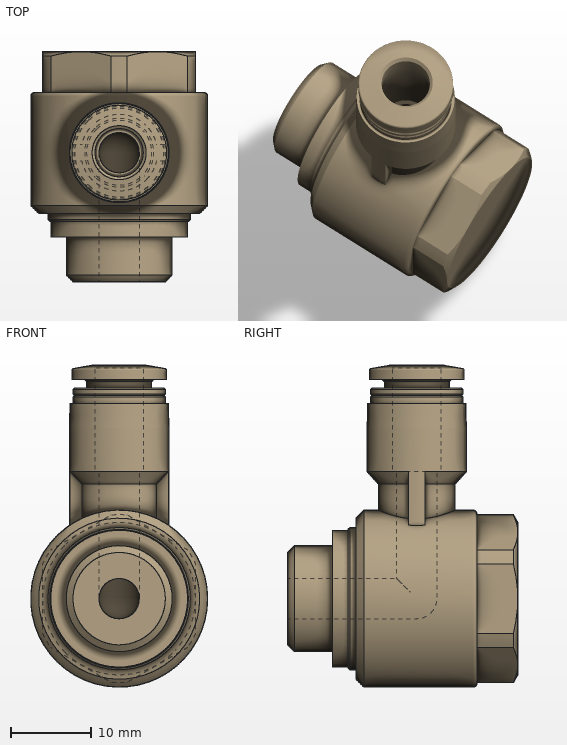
import cadquery as cq
import math


body_diameter = 22.0
body_back = 7.5
body_front = -7.55
body_fillet = 0.5
body_chamfer = 1.0
collar_diameter = 17.7
collar_front = -8.55
collar_chamfer = 0.25
ring_diameter = 17.0
ring_front = -10.5
plug_diameter = 13.15
plug_length = 5.55
plug_chamfer = 0.85
plug_front = ring_front - plug_length

overall_length = 28.6
hex_back = plug_front + overall_length
hex_across_flats = 19.0
hex_corner_diameter = 20.9
hex_chamfer_length = 0.55
hex_end_diameter = 18.95

overall_height = 40.0
port_top = overall_height - body_diameter / 2
port_diameter = 12.4
port_taper_diameter = 12.2
neck_diameter = 9.5
neck_top = 14.25
shoulder_height = 15.8
taper_bottom = 21.2
taper_top = 24.25
rib_thickness = 2.1

seat_diameter = 11.5
seat_top = 26.2
seat_edge = 0.25
groove_height = 25.25
groove_depth = 0.2

button_diameter = 11.8
button_bottom = 27.2
button_edge_height = 28.6
button_edge_round = 0.25
button_stem_diameter = 8.1
stem_flare = 0.25

bore_diameter = 5.0
tube_diameter = 6.0
tube_stop_height = shoulder_height
tube_mouth_diameter = 6.7
tube_mouth_depth = 0.35


def cylinder_along_y(diameter, front, back):
    return cq.Workplane("XZ", origin=(0, back, 0)).circle(diameter / 2).extrude(back - front)


def make_body():
    """Round body with its collar, ring and plug stepping down toward -Y."""
    body = cylinder_along_y(body_diameter, body_front, body_back)
    body = body.faces(">Y").edges().fillet(body_fillet)
    body = body.faces("<Y").edges().chamfer(body_chamfer)
    collar = cylinder_along_y(collar_diameter, collar_front, body_front)
    collar = collar.faces("<Y").edges().chamfer(collar_chamfer)
    ring = cylinder_along_y(ring_diameter, ring_front, collar_front)
    plug = cylinder_along_y(plug_diameter, plug_front, ring_front)
    plug = plug.faces("<Y").edges().chamfer(plug_chamfer)
    return body.union(collar).union(ring).union(plug)


def make_hex_head():
    """Hexagon with one corner up, its corners turned round and its end beveled."""
    prism = (
        cq.Workplane("XZ", origin=(0, hex_back, 0))
        .polygon(6, hex_across_flats / math.cos(math.pi / 6))
        .extrude(hex_back - body_back)
        .rotate((0, 0, 0), (0, 1, 0), 30)
    )
    turned = cylinder_along_y(hex_corner_diameter, body_back, hex_back)
    bevel_width = (hex_corner_diameter - hex_end_diameter) / 2
    turned = turned.faces(">Y").edges().chamfer(hex_chamfer_length, bevel_width)
    return prism.intersect(turned)


def make_port():
    """Neck, port barrel and release button turned about Z."""
    neck_radius = neck_diameter / 2
    port_radius = port_diameter / 2
    seat_radius = seat_diameter / 2
    stem_radius = button_stem_diameter / 2
    button_radius = button_diameter / 2
    profile = [
        (0, 0),
        (neck_radius, 0),
        (neck_radius, neck_top),
        (port_radius, shoulder_height),
        (port_radius, taper_bottom),
        (port_taper_diameter / 2, taper_top),
        (seat_radius, taper_top),
        (seat_radius, groove_height - groove_depth),
        (seat_radius - groove_depth, groove_height),
        (seat_radius, groove_height + groove_depth),
        (seat_radius, seat_top - seat_edge),
        (seat_radius - seat_edge, seat_top),
        (stem_radius, seat_top),
        (stem_radius, button_bottom - stem_flare),
        (stem_radius + stem_flare, button_bottom),
        (button_radius, button_bottom),
        (button_radius, button_edge_height - button_edge_round),
    ]
    round_offset = button_edge_round * (1 - math.sqrt(0.5))
    return (
        cq.Workplane("XZ")
        .polyline(profile)
        .threePointArc(
            (button_radius - round_offset, button_edge_height - round_offset),
            (button_radius - button_edge_round, button_edge_height),
        )
        .lineTo(tube_mouth_diameter / 2, port_top)
        .lineTo(0, port_top)
        .close()
        .revolve(360, (0, 0, 0), (0, 1, 0))
    )


def make_ribs():
    """Web through the neck whose outer edges are flush with the port barrel."""
    barrel = cq.Workplane("XY").circle(port_diameter / 2).extrude(shoulder_height)
    web = cq.Workplane("XY").rect(port_diameter, rib_thickness).extrude(shoulder_height)
    return web.intersect(barrel)


def make_passage():
    """Elbow bore from plug to port, with a wider tube socket at the top."""
    plug_bore = cylinder_along_y(bore_diameter, plug_front, 0)
    port_bore = cq.Workplane("XY").circle(bore_diameter / 2).extrude(port_top)
    elbow = cq.Workplane("XY").sphere(bore_diameter / 2)
    tube_radius = tube_diameter / 2
    mouth_radius = tube_mouth_diameter / 2
    socket = (
        cq.Workplane("XZ")
        .polyline([
            (0, tube_stop_height),
            (tube_radius, tube_stop_height),
            (tube_radius, port_top - tube_mouth_depth),
            (mouth_radius, port_top),
            (0, port_top),
        ])
        .close()
        .revolve(360, (0, 0, 0), (0, 1, 0))
    )
    return plug_bore.union(elbow).union(port_bore).union(socket)


solid = make_body().union(make_hex_head()).union(make_port()).union(make_ribs())
result = solid.cut(make_passage()).clean()